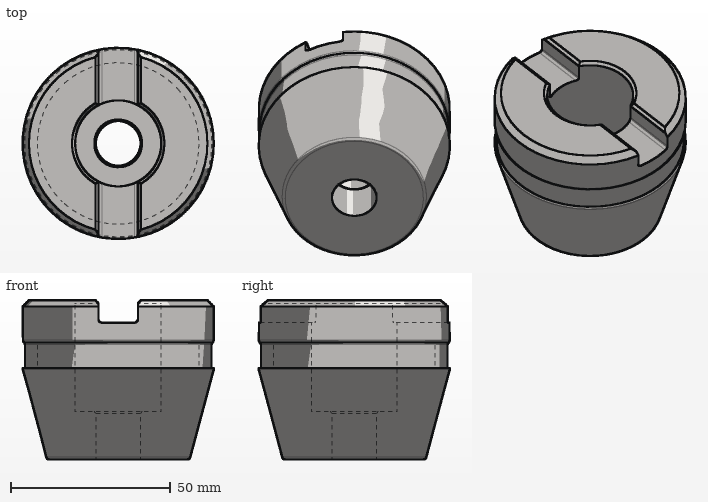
import cadquery as cq
import math

TOTAL_HEIGHT = 50.0

CONE_HEIGHT = 28.8
CONE_HALF_ANGLE = 15.0
CONE_MAX_RADIUS = 30.045
RIM_FILLET = 0.4
FOOT_FILLET = 1.0

FLANGE_RADIUS = 60.0 / 2
FLANGE_TOP_CHAMFER = 2.0
FLANGE_BOTTOM = 37.5

BAND_RADIUS = 58.71 / 2
BAND_THICKNESS = 4.0
FLARE_START = 36.1

GROOVE_TOP = (FLARE_START + FLANGE_BOTTOM) / 2
GROOVE_TOP_RADIUS = (BAND_RADIUS + FLANGE_RADIUS) / 2
GROOVE_FLOOR_RADIUS = BAND_RADIUS - BAND_THICKNESS

BORE_DIAMETER = 27.0
BORE_FLOOR = 15.0
HOLE_DIAMETER = 14.0
BORE_CHAMFER = 1.0
HOLE_CHAMFER = 0.5

SLOT_WIDTH = 12.3
SLOT_DEPTH = 7.0
SLOT_CHAMFER = 1.0
SLOT_FLOOR_FILLET = 1.0


def revolve_about_z(profile):
    """Turn a closed (radius, height) profile about the Z axis."""
    return profile.close().revolve(360, (0, 0, 0), (0, 1, 0))


def make_cavity():
    """Bore with a chamfered mouth, plus the through hole in its floor."""
    bore_radius = BORE_DIAMETER / 2
    hole_radius = HOLE_DIAMETER / 2
    return revolve_about_z(
        cq.Workplane("XZ")
        .moveTo(0, 0)
        .lineTo(hole_radius, 0)
        .lineTo(hole_radius, BORE_FLOOR - HOLE_CHAMFER)
        .lineTo(hole_radius + HOLE_CHAMFER, BORE_FLOOR)
        .lineTo(bore_radius, BORE_FLOOR)
        .lineTo(bore_radius, TOTAL_HEIGHT - BORE_CHAMFER)
        .lineTo(bore_radius + BORE_CHAMFER, TOTAL_HEIGHT)
        .lineTo(0, TOTAL_HEIGHT)
    )


def make_slot():
    """Slot with rounded floor corners and chamfered upper edges."""
    half_width = SLOT_WIDTH / 2
    mouth_half_width = half_width + SLOT_CHAMFER
    floor = TOTAL_HEIGHT - SLOT_DEPTH
    chamfer_bottom = TOTAL_HEIGHT - SLOT_CHAMFER
    channel = (
        cq.Workplane("XZ")
        .moveTo(-half_width, floor)
        .lineTo(half_width, floor)
        .lineTo(half_width, chamfer_bottom)
        .lineTo(mouth_half_width, TOTAL_HEIGHT)
        .lineTo(-mouth_half_width, TOTAL_HEIGHT)
        .lineTo(-half_width, chamfer_bottom)
        .close()
        .extrude(FLANGE_RADIUS + SLOT_CHAMFER, both=True)
    )
    return channel.faces("<Z").edges("|Y").fillet(SLOT_FLOOR_FILLET)


def make_cone():
    """Cone narrowing downwards, with a rounded rim and foot."""
    half_angle = math.radians(CONE_HALF_ANGLE)
    taper = math.tan(half_angle)
    rim_trim = RIM_FILLET * (taper + 1 / math.cos(half_angle) - 1)
    rim_radius = CONE_MAX_RADIUS + rim_trim
    foot_radius = rim_radius - CONE_HEIGHT * taper
    cone = revolve_about_z(
        cq.Workplane("XZ")
        .moveTo(0, 0)
        .lineTo(foot_radius, 0)
        .lineTo(rim_radius, CONE_HEIGHT)
        .lineTo(0, CONE_HEIGHT)
    )
    cone = cone.faces(">Z").edges().fillet(RIM_FILLET)
    return cone.faces("<Z").edges().fillet(FOOT_FILLET)


def make_flange():
    """Flange with a chamfered top edge and a rounded bottom edge."""
    return revolve_about_z(
        cq.Workplane("XZ")
        .moveTo(0, TOTAL_HEIGHT)
        .lineTo(FLANGE_RADIUS - FLANGE_TOP_CHAMFER, TOTAL_HEIGHT)
        .lineTo(FLANGE_RADIUS, TOTAL_HEIGHT - FLANGE_TOP_CHAMFER)
        .lineTo(FLANGE_RADIUS, FLANGE_BOTTOM)
        .tangentArcPoint((GROOVE_TOP_RADIUS, GROOVE_TOP), relative=False)
        .lineTo(0, GROOVE_TOP)
    )


def make_body():
    """Main body: cone and flange joined by a core, then bored and slotted."""
    core = (
        cq.Workplane("XY", origin=(0, 0, CONE_HEIGHT))
        .circle(GROOVE_FLOOR_RADIUS)
        .extrude(GROOVE_TOP - CONE_HEIGHT)
    )
    blank = make_cone().union(core).union(make_flange())
    return blank.cut(make_cavity()).cut(make_slot())


def make_band():
    """Ring in the groove, flaring outwards at its upper end."""
    return revolve_about_z(
        cq.Workplane("XZ")
        .moveTo(GROOVE_FLOOR_RADIUS, CONE_HEIGHT)
        .lineTo(BAND_RADIUS, CONE_HEIGHT)
        .lineTo(BAND_RADIUS, FLARE_START)
        .tangentArcPoint((GROOVE_TOP_RADIUS, GROOVE_TOP), relative=False)
        .lineTo(GROOVE_FLOOR_RADIUS, GROOVE_TOP)
    )


body = make_body()
band = make_band()
result = cq.Compound.makeCompound([body.solids().val(), band.val()])